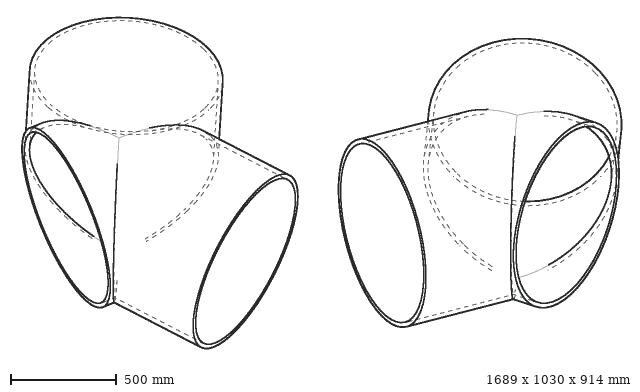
import cadquery as cq
import math

overall_width = 1689.0
overall_depth = 1030.0
outer_diameter = 914.0
inner_diameter = 868.0

right_angle_from_x = 30.0
left_angle_from_x = 150.0
inlet_angle_from_x = 270.0

mitre_angle = (left_angle_from_x - right_angle_from_x) / 2

outer_radius = outer_diameter / 2
tilt = math.radians(right_angle_from_x)
branch_length = (overall_width / 2 - outer_radius * math.sin(tilt)) / math.cos(tilt)
branch_reach_y = branch_length * math.sin(tilt) + outer_radius * math.cos(tilt)
inlet_length = overall_depth - branch_reach_y

legs = [
    (right_angle_from_x, branch_length),
    (left_angle_from_x, branch_length),
    (inlet_angle_from_x, inlet_length),
]


def mitred_leg(angle, length):
    """Tube along one axis, trimmed to its 120 degree share of the junction."""
    tube = cq.Workplane("YZ").circle(outer_radius).circle(inner_diameter / 2).extrude(length)
    wedge_half_width = length * math.tan(math.radians(mitre_angle))
    wedge = (
        cq.Workplane("XY")
        .polyline([(0, 0), (length, -wedge_half_width), (length, wedge_half_width)])
        .close()
        .extrude(outer_diameter, both=True)
    )
    return tube.intersect(wedge).rotate((0, 0, 0), (0, 0, 1), angle)


result = cq.Workplane("XY")
for leg_angle, leg_length in legs:
    result = result.union(mitred_leg(leg_angle, leg_length))